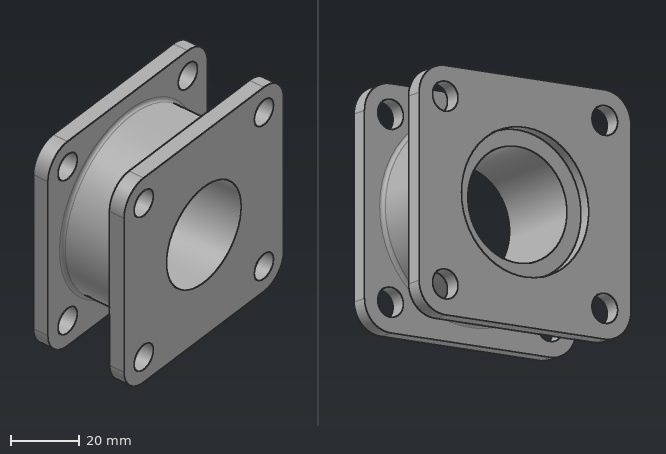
import cadquery as cq

flange_side = 75.0
overall_length = 34.0
flange_thickness = 5.5
hole_spacing = 56.5
hole_diameter = 9.0
barrel_diameter = 62.0
barrel_fillet = 1.2
bore_diameter = 35.0
recess_diameter = 45.0
recess_depth = 4.0

corner_radius = (flange_side - hole_spacing) / 2
barrel_length = overall_length - 2 * flange_thickness
left_face = -overall_length / 2


def make_flange(start_x):
    """Rounded square plate with four bolt holes, extending toward +X."""
    plate = (
        cq.Workplane("YZ", origin=(start_x, 0, 0))
        .rect(flange_side, flange_side)
        .extrude(flange_thickness)
        .edges("|X")
        .fillet(corner_radius)
    )
    return (
        plate.faces(">X")
        .workplane(centerOption="CenterOfBoundBox")
        .rect(hole_spacing, hole_spacing, forConstruction=True)
        .vertices()
        .hole(hole_diameter)
    )


def make_barrel():
    """Round body with a concave fillet where it meets each flange."""
    radius = barrel_diameter / 2
    half_length = barrel_length / 2
    straight_half = half_length - barrel_fillet
    foot_radius = radius + barrel_fillet
    bend = barrel_fillet * (1 - 0.5**0.5)
    return (
        cq.Workplane("XY")
        .moveTo(-half_length, 0)
        .lineTo(-half_length, foot_radius)
        .threePointArc((-half_length + bend, radius + bend), (-straight_half, radius))
        .lineTo(straight_half, radius)
        .threePointArc((half_length - bend, radius + bend), (half_length, foot_radius))
        .lineTo(half_length, 0)
        .close()
        .revolve(360, (0, 0, 0), (1, 0, 0))
    )


def make_cylinder(diameter, length):
    """Cylinder along the bore axis, starting at the -X face."""
    return cq.Workplane("YZ", origin=(left_face, 0, 0)).circle(diameter / 2).extrude(length)


body = make_barrel()
for flange_start in (left_face, barrel_length / 2):
    body = body.union(make_flange(flange_start))

bore = make_cylinder(bore_diameter, overall_length)
recess = make_cylinder(recess_diameter, recess_depth)
result = body.cut(bore).cut(recess)